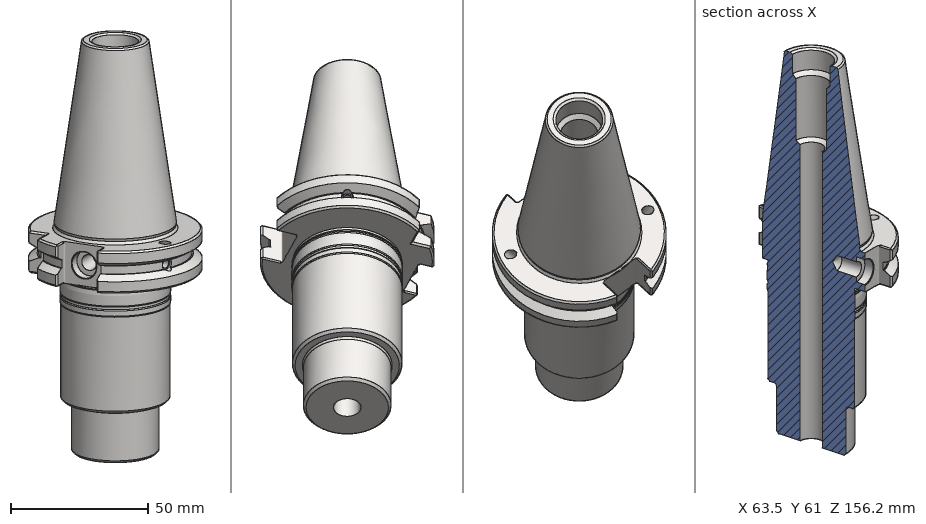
import cadquery as cq
import math

TAPER_LENGTH = 68.25
PROJECTION = 88.0
GAUGE_DIA = 44.45
TAPER_RATIO = 7 / 24

COLLAR_EDGE_Z = -1.0
COLLAR_NECK_Z = -2.0
COLLAR_NECK_DIA = 44.2
COLLAR_FOOT_DIA = 45.7

FLANGE_DIA = 63.5
FLANGE_TOP_Z = -3.1
FLANGE_THICKNESS = 15.9
FLANGE_CHAMFER = 0.7
GROOVE_Z = -11.05
GROOVE_FLANK_DIA = 57.0
GROOVE_FLOOR_DIA = 56.0
GROOVE_FLOOR_WIDTH = 3.2
GROOVE_FLANK_ANGLE = 30.0

SLOT_WIDTH = 16.1
FRONT_SLOT_FLOOR = 24.7
BACK_SLOT_FLOOR = 22.3
SLOT_FLOOR_FILLET = 0.5
SLOT_MOUTH_CHAMFER = 0.7
SLOT_RIM_CHAMFER = 0.5

NOTCH_X = -18.6
NOTCH_Y = -18.6

BODY_DIA = 40.0
BEAD_DIA = 40.5
BODY_BOTTOM_Z = -68.0
BODY_CHAMFER = 1.0
BEAD_FLANK = 0.45
BEAD_RAMP = 1.85
BEADS = (
    (-20.0, -21.45, BEAD_FLANK),
    (-21.45, -27.55, BEAD_RAMP),
    (-28.5, -31.35, BEAD_FLANK),
)

NOSE_DIA = 32.0
NOSE_FLARE_DIA = 32.8
NOSE_FLARE_Z = -69.0
NOSE_CHAMFER = 1.0

BORE_MOUTH_DIA = 19.0
BORE_MOUTH_DEPTH = 0.6
BORE_DIA = 17.0
BORE_DEPTH = 8.5
TAP_DIA = 13.84
TAP_DEPTH = 35.0
THROUGH_DIA = 10.0
DRILL_POINT_ANGLE = 118.0
TOP_CHAMFER = 0.6

RECESS_DIA = 10.0
RECESS_DEPTH = 4.0
RECESS_CHAMFER = 0.25
KEY_HOLE_DIA = 6.0
KEY_HOLE_DEPTH = 13.0

COOLANT_DIA = 3.9
COOLANT_RADIUS = 26.9
COOLANT_TILT = 30.0
COOLANT_DEPTH = 12.0
COOLANT_LEAD = 4.0
COOLANT_ANGLES = (160.0, 340.0)
PLUG_DIA = 3.24
PLUG_MOUTH_DIA = 4.4
PLUG_MOUTH_DEPTH = 1.0
PLUG_DEPTH = 8.0

FLANGE_BOTTOM_Z = FLANGE_TOP_Z - FLANGE_THICKNESS
CUTTER_SIZE = 2 * FLANGE_DIA


def revolve_profile(points):
    """Turn a closed (radius, z) outline around the Z axis."""
    return cq.Workplane("XZ").polyline(points).close().revolve(360, (0, 0, 0), (0, 1, 0))


def make_taper():
    top_radius = (GAUGE_DIA - TAPER_LENGTH * TAPER_RATIO) / 2
    return revolve_profile([
        (0, TAPER_LENGTH),
        (top_radius - TOP_CHAMFER, TAPER_LENGTH),
        (top_radius + TOP_CHAMFER * TAPER_RATIO / 2, TAPER_LENGTH - TOP_CHAMFER),
        ((GAUGE_DIA - COLLAR_EDGE_Z * TAPER_RATIO) / 2, COLLAR_EDGE_Z),
        (COLLAR_NECK_DIA / 2, COLLAR_NECK_Z),
        (COLLAR_FOOT_DIA / 2, FLANGE_TOP_Z),
        (0, FLANGE_TOP_Z),
    ])


def flange_blank():
    disc = cq.Workplane("XY", origin=(0, 0, FLANGE_BOTTOM_Z)).circle(FLANGE_DIA / 2).extrude(FLANGE_THICKNESS)
    notch = (
        cq.Workplane("XY", origin=(0, 0, FLANGE_BOTTOM_Z))
        .rect(CUTTER_SIZE, CUTTER_SIZE)
        .extrude(FLANGE_THICKNESS)
        .translate((NOTCH_X - CUTTER_SIZE / 2, NOTCH_Y - CUTTER_SIZE / 2, 0))
    )
    return disc.cut(notch).faces("<Z or >Z").chamfer(FLANGE_CHAMFER)


def gripper_groove():
    rim = FLANGE_DIA / 2
    flank = GROOVE_FLANK_DIA / 2
    floor = GROOVE_FLOOR_DIA / 2
    half_floor = GROOVE_FLOOR_WIDTH / 2
    half_mouth = half_floor + (rim - flank) * math.tan(math.radians(GROOVE_FLANK_ANGLE))
    return revolve_profile([
        (floor, GROOVE_Z - half_floor),
        (flank, GROOVE_Z - half_floor),
        (rim, GROOVE_Z - half_mouth),
        (FLANGE_DIA, GROOVE_Z - half_mouth),
        (FLANGE_DIA, GROOVE_Z + half_mouth),
        (rim, GROOVE_Z + half_mouth),
        (flank, GROOVE_Z + half_floor),
        (floor, GROOVE_Z + half_floor),
    ])


def key_slot(side, floor):
    """Cutter for a key slot on the +Y (side = 1) or -Y (side = -1) face, with a flared mouth."""
    half = SLOT_WIDTH / 2
    mouth_half = half + SLOT_MOUTH_CHAMFER
    rim_y = math.sqrt((FLANGE_DIA / 2) ** 2 - mouth_half**2)
    slot = (
        cq.Workplane("XY", origin=(0, 0, FLANGE_BOTTOM_Z))
        .rect(SLOT_WIDTH, CUTTER_SIZE)
        .extrude(FLANGE_THICKNESS)
        .translate((0, side * (floor + CUTTER_SIZE / 2), 0))
        .edges("|Z")
        .fillet(SLOT_FLOOR_FILLET)
    )
    mouth = (
        cq.Workplane("XY", origin=(0, 0, FLANGE_BOTTOM_Z))
        .polyline([
            (-half, side * (rim_y - SLOT_MOUTH_CHAMFER)),
            (half, side * (rim_y - SLOT_MOUTH_CHAMFER)),
            (mouth_half, side * rim_y),
            (mouth_half, side * FLANGE_DIA),
            (-mouth_half, side * FLANGE_DIA),
            (-mouth_half, side * rim_y),
        ])
        .close()
        .extrude(FLANGE_THICKNESS)
    )
    cutter = slot.union(mouth)
    rim_start = floor + SLOT_FLOOR_FILLET
    for face_z, inward in ((FLANGE_TOP_Z, -1), (FLANGE_BOTTOM_Z, 1)):
        rim = (
            cq.Workplane("XZ", origin=(0, side * rim_start, 0))
            .polyline([
                (-half - SLOT_RIM_CHAMFER, face_z),
                (half + SLOT_RIM_CHAMFER, face_z),
                (half, face_z + inward * SLOT_RIM_CHAMFER),
                (-half, face_z + inward * SLOT_RIM_CHAMFER),
            ])
            .close()
            .extrude(-side * FLANGE_DIA / 2)
        )
        cutter = cutter.union(rim)
    return cutter


def make_flange():
    flange = flange_blank().cut(gripper_groove())
    flange = flange.cut(key_slot(-1, FRONT_SLOT_FLOOR))
    return flange.cut(key_slot(1, BACK_SLOT_FLOOR))


def bead(top, low, upper_flank):
    """Raised band around the body with bevelled flanks."""
    return revolve_profile([
        (0, top),
        (BODY_DIA / 2, top),
        (BEAD_DIA / 2, top - upper_flank),
        (BEAD_DIA / 2, low + BEAD_FLANK),
        (BODY_DIA / 2, low),
        (0, low),
    ])


def make_body():
    body = BODY_DIA / 2
    nose = NOSE_DIA / 2
    bottom = -PROJECTION
    shape = revolve_profile([
        (0, FLANGE_BOTTOM_Z),
        (body, FLANGE_BOTTOM_Z),
        (body, BODY_BOTTOM_Z + BODY_CHAMFER),
        (body - BODY_CHAMFER, BODY_BOTTOM_Z),
        (NOSE_FLARE_DIA / 2, BODY_BOTTOM_Z),
        (nose, NOSE_FLARE_Z),
        (nose, bottom + NOSE_CHAMFER),
        (nose - NOSE_CHAMFER, bottom),
        (0, bottom),
    ])
    for top, low, upper_flank in BEADS:
        shape = shape.union(bead(top, low, upper_flank))
    return shape


def axial_bore():
    bore = BORE_DIA / 2
    tap = TAP_DIA / 2
    through = THROUGH_DIA / 2
    mouth = BORE_MOUTH_DIA / 2
    ledge_z = TAPER_LENGTH - BORE_DEPTH
    tap_end_z = TAPER_LENGTH - TAP_DEPTH
    point = (tap - through) / math.tan(math.radians(DRILL_POINT_ANGLE / 2))
    return revolve_profile([
        (0, TAPER_LENGTH),
        (mouth, TAPER_LENGTH),
        (bore, TAPER_LENGTH - BORE_MOUTH_DEPTH),
        (bore, ledge_z),
        (tap, ledge_z - (bore - tap)),
        (tap, tap_end_z),
        (through, tap_end_z - point),
        (through, -PROJECTION),
        (0, -PROJECTION),
    ])


def drilled_hole(start, direction, dia, depth, lead=0.0):
    """Drill with a conical point; the full diameter reaches `depth` past `start`."""
    radius = dia / 2
    point = radius / math.tan(math.radians(DRILL_POINT_ANGLE / 2))
    axis = cq.Vector(*direction).normalized()
    begin = cq.Vector(*start) - axis * lead
    shank = cq.Solid.makeCylinder(radius, depth + lead, begin, axis)
    tip = cq.Solid.makeCone(radius, 0, point, begin + axis * (depth + lead), axis)
    return shank.fuse(tip)


def key_slot_hole():
    mouth = (0, -FRONT_SLOT_FLOOR, GROOVE_Z)
    recess = cq.Solid.makeCylinder(RECESS_DIA / 2, RECESS_DEPTH, cq.Vector(*mouth), cq.Vector(0, 1, 0))
    rim = cq.Solid.makeCone(
        RECESS_DIA / 2 + RECESS_CHAMFER,
        RECESS_DIA / 2,
        RECESS_CHAMFER,
        cq.Vector(*mouth),
        cq.Vector(0, 1, 0),
    )
    return recess.fuse(rim, drilled_hole(mouth, (0, 1, 0), KEY_HOLE_DIA, KEY_HOLE_DEPTH))


def coolant_holes(angle):
    """Tilted hole through the flange top and the radial plug hole in the gripper groove."""
    out_x = math.cos(math.radians(angle))
    out_y = math.sin(math.radians(angle))
    tilt_in = math.sin(math.radians(COOLANT_TILT))
    tilt_down = math.cos(math.radians(COOLANT_TILT))
    start = (COOLANT_RADIUS * out_x, COOLANT_RADIUS * out_y, FLANGE_TOP_Z)
    inward = (-tilt_in * out_x, -tilt_in * out_y, -tilt_down)
    coolant = drilled_hole(start, inward, COOLANT_DIA, COOLANT_DEPTH, COOLANT_LEAD)

    floor = GROOVE_FLOOR_DIA / 2
    rim = FLANGE_DIA / 2
    toward_axis = (-out_x, -out_y, 0)
    plug = drilled_hole((floor * out_x, floor * out_y, GROOVE_Z), toward_axis, PLUG_DIA, PLUG_DEPTH)
    mouth = cq.Solid.makeCylinder(
        PLUG_MOUTH_DIA / 2,
        rim - floor + PLUG_MOUTH_DEPTH,
        cq.Vector(rim * out_x, rim * out_y, GROOVE_Z),
        cq.Vector(*toward_axis),
    )
    return coolant.fuse(plug, mouth)


result = make_taper().union(make_flange()).union(make_body())
result = result.cut(axial_bore()).cut(cq.Workplane(key_slot_hole()))
for hole_angle in COOLANT_ANGLES:
    result = result.cut(cq.Workplane(coolant_holes(hole_angle)))